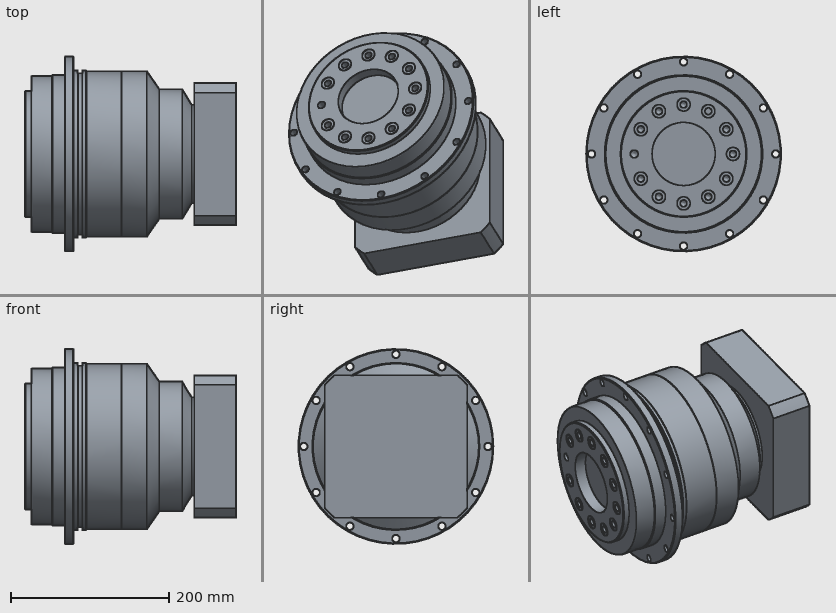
import cadquery as cq
import math

pilot_length = 8.3
output_end = 34.2
mount_flange_start = 50.3
mount_flange_end = 62.0
seal_groove_start = 67.0
seal_groove_end = 73.0
collar_end = 77.3
housing_end = 122.2
shoulder_cone_start = 154.3
shoulder_cone_end = 170.0
neck_cone_start = 199.0
neck_cone_end = 211.0
motor_plate_start = 214.3
overall_length = 267.5

pilot_diameter = 160.0
output_diameter = 198.0
centering_diameter = 200.0
mount_flange_diameter = 247.0
collar_diameter = 211.9
seal_groove_diameter = 205.0
housing_diameter = 210.0
shoulder_diameter = 164.5
neck_diameter = 125.0

edge_chamfer = 1.0
seam_chamfer = 0.3
groove_root_chamfer = 0.5
lead_chamfer_length = 2.0
lead_chamfer_depth = 0.5

bore_diameter = 80.0
bore_depth = 15.0
output_hole_count = 12
output_hole_circle = 125.0
tapped_hole_diameter = 8.5
dowel_hole_diameter = 10.0
output_hole_depth = 18.7
spot_face_diameter = 16.5
spot_face_depth = 0.8
drill_point_angle = 118.0
dowel_hole_index = 0
flat_hole_index = 4

mount_hole_count = 12
mount_hole_circle = 233.0
mount_hole_diameter = 9.0

motor_plate_width = 180.0
motor_plate_flat = 155.7


def revolve_profile(points):
    """Turn a profile of (x, radius) points that starts and ends on the axis into a solid about X."""
    return cq.Workplane("XY").polyline(points).close().revolve(360, (0, 0, 0), (1, 0, 0))


def cylinder_along_x(start, end, diameter, y=0.0, z=0.0):
    """Cylinder from x = start to x = end about a line parallel to the X axis."""
    return cq.Workplane("YZ", origin=(start, y, z)).circle(diameter / 2).extrude(end - start)


def circle_position(index, count, circle_diameter):
    """(y, z) of one of count places evenly spaced on a circle, counted from +Y toward +Z."""
    angle = 2 * math.pi * index / count
    return circle_diameter / 2 * math.cos(angle), circle_diameter / 2 * math.sin(angle)


def drill_point(base, diameter, y, z):
    """Cone that a drill leaves below the straight part of a blind hole."""
    length = diameter / 2 / math.tan(math.radians(drill_point_angle / 2))
    cone = cq.Solid.makeCone(diameter / 2, 0, length, cq.Vector(base, y, z), cq.Vector(1, 0, 0))
    return cq.Workplane(cone)


def make_output_flange():
    pilot_radius = pilot_diameter / 2
    output_radius = output_diameter / 2
    flange = revolve_profile([
        (0, 0),
        (0, pilot_radius - edge_chamfer),
        (edge_chamfer, pilot_radius),
        (pilot_length, pilot_radius),
        (pilot_length, output_radius - lead_chamfer_depth),
        (pilot_length + lead_chamfer_length, output_radius),
        (output_end, output_radius),
        (output_end, 0),
    ])
    flange = flange.cut(cylinder_along_x(0, bore_depth, bore_diameter))
    for index in range(output_hole_count):
        y, z = circle_position(index, output_hole_count, output_hole_circle)
        is_dowel = index == dowel_hole_index
        diameter = dowel_hole_diameter if is_dowel else tapped_hole_diameter
        flange = flange.cut(cylinder_along_x(0, output_hole_depth, diameter, y, z))
        if not is_dowel:
            flange = flange.cut(cylinder_along_x(0, spot_face_depth, spot_face_diameter, y, z))
        if index != flat_hole_index:
            flange = flange.cut(drill_point(output_hole_depth, diameter, y, z))
    return flange


def make_front_housing():
    centering_radius = centering_diameter / 2
    mount_radius = mount_flange_diameter / 2
    collar_radius = collar_diameter / 2
    groove_radius = seal_groove_diameter / 2
    housing_radius = housing_diameter / 2
    housing = revolve_profile([
        (output_end, 0),
        (output_end, centering_radius - edge_chamfer),
        (output_end + edge_chamfer, centering_radius),
        (mount_flange_start, centering_radius),
        (mount_flange_start, mount_radius - edge_chamfer),
        (mount_flange_start + edge_chamfer, mount_radius),
        (mount_flange_end - edge_chamfer, mount_radius),
        (mount_flange_end, mount_radius - edge_chamfer),
        (mount_flange_end, collar_radius),
        (seal_groove_start, collar_radius),
        (seal_groove_start, groove_radius + groove_root_chamfer),
        (seal_groove_start + groove_root_chamfer, groove_radius),
        (seal_groove_end - groove_root_chamfer, groove_radius),
        (seal_groove_end, groove_radius + groove_root_chamfer),
        (seal_groove_end, collar_radius),
        (collar_end, collar_radius),
        (collar_end + collar_radius - housing_radius, housing_radius),
        (housing_end - seam_chamfer, housing_radius),
        (housing_end, housing_radius - seam_chamfer),
        (housing_end, 0),
    ])
    for index in range(mount_hole_count):
        y, z = circle_position(index, mount_hole_count, mount_hole_circle)
        hole = cylinder_along_x(mount_flange_start, mount_flange_end, mount_hole_diameter, y, z)
        housing = housing.cut(hole)
    return housing


def make_rear_housing():
    return revolve_profile([
        (housing_end, 0),
        (housing_end, housing_diameter / 2 - seam_chamfer),
        (housing_end + seam_chamfer, housing_diameter / 2),
        (shoulder_cone_start, housing_diameter / 2),
        (shoulder_cone_end, shoulder_diameter / 2),
        (neck_cone_start, shoulder_diameter / 2),
        (neck_cone_end, neck_diameter / 2),
        (motor_plate_start, neck_diameter / 2),
        (motor_plate_start, 0),
    ])


def make_motor_plate():
    thickness = overall_length - motor_plate_start
    square = (
        cq.Workplane("YZ", origin=(motor_plate_start, 0, 0))
        .rect(motor_plate_width, motor_plate_width)
        .extrude(thickness)
    )
    corner_circle = math.hypot(motor_plate_width, motor_plate_flat)
    return square.intersect(cylinder_along_x(motor_plate_start, overall_length, corner_circle))


output_flange = make_output_flange()
front_housing = make_front_housing()
rear_housing = make_rear_housing()
motor_plate = make_motor_plate()

result = cq.Compound.makeCompound([
    output_flange.val(),
    front_housing.val(),
    rear_housing.val(),
    motor_plate.val(),
])